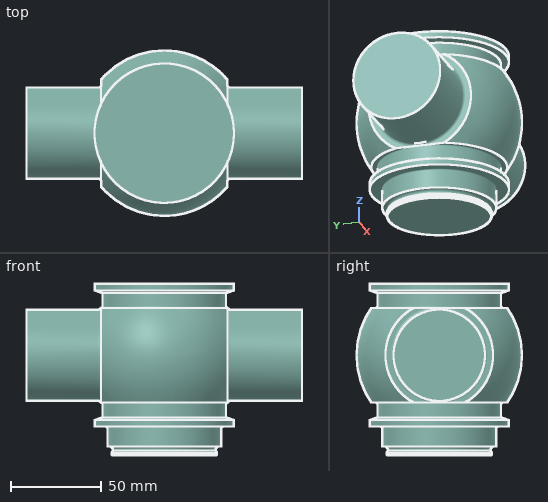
import cadquery as cq
import math

pipe_length = 153.16
overall_height = 95.45

sphere_radius = 92.05 / 2
body_half_height = 26.35
pipe_side_offset = 35.0

pipe_radius = 50.8 / 2
pipe_fillet = 1.5

neck_radius = 68.78 / 2
neck_fillet = 0.6
flange_radius = 77.47 / 2
flange_face_z = 39.7
flange_rim_height = 3.65
flange_slope_angle = 20

spigot_radius = 63.4 / 2
spigot_fillet = 0.7
spigot_bottom_z = -50.7

stem_radius = 57.28 / 2
stem_fillet = 1.8
stem_straight_height = 0.5
lip_radius = 58.75 / 2
lip_chamfer_height = 0.85
lip_chamfer_width = 0.5
lip_flare_angle = 30
bottom_z = flange_face_z - overall_height


def quarter_arc_midpoint(center, radius, x_sign, y_sign):
    """Middle of a quarter arc lying on the given diagonal side of its center."""
    reach = radius * math.sqrt(0.5)
    return (center[0] + x_sign * reach, center[1] + y_sign * reach)


def revolve_about_z(profile):
    """Close a radius-height profile and turn it about the neck axis."""
    return profile.close().revolve(360, (0, 0, 0), (0, 1, 0))


def make_body():
    """Sphere with its poles on Y, cut by the four flats."""
    envelope = cq.Workplane("XY").box(
        2 * pipe_side_offset, 2 * sphere_radius, 2 * body_half_height
    )
    sphere = (
        cq.Workplane("XY")
        .moveTo(0, -sphere_radius)
        .threePointArc((sphere_radius, 0), (0, sphere_radius))
        .close()
        .revolve(360, (0, 0, 0), (0, 1, 0))
    )
    return sphere.intersect(envelope)


def make_pipe():
    """Both pipe stubs with their fillets, kept within the body height."""
    fillet_center = (pipe_side_offset + pipe_fillet, pipe_radius + pipe_fillet)
    stub = (
        cq.Workplane("XY")
        .lineTo(pipe_length / 2, 0)
        .lineTo(pipe_length / 2, pipe_radius)
        .lineTo(fillet_center[0], pipe_radius)
        .threePointArc(
            quarter_arc_midpoint(fillet_center, pipe_fillet, -1, -1),
            (pipe_side_offset, fillet_center[1]),
        )
        .lineTo(pipe_side_offset, pipe_radius)
        .lineTo(0, pipe_radius)
        .close()
        .revolve(360, (0, 0, 0), (1, 0, 0))
    )
    height_limit = cq.Workplane("XY").box(
        pipe_length, 2 * sphere_radius, 2 * body_half_height
    )
    return stub.union(stub.mirror("YZ")).intersect(height_limit)


def make_flanged_neck():
    """Upper neck filleted onto the body, with a flange sloped on the body side."""
    rim_z = flange_face_z - flange_rim_height
    slope_height = (flange_radius - neck_radius) * math.tan(math.radians(flange_slope_angle))
    fillet_center = (neck_radius + neck_fillet, body_half_height + neck_fillet)
    profile = (
        cq.Workplane("XZ")
        .lineTo(neck_radius, 0)
        .lineTo(neck_radius, body_half_height)
        .lineTo(fillet_center[0], body_half_height)
        .threePointArc(
            quarter_arc_midpoint(fillet_center, neck_fillet, -1, -1),
            (neck_radius, fillet_center[1]),
        )
        .lineTo(neck_radius, rim_z - slope_height)
        .lineTo(flange_radius, rim_z)
        .lineTo(flange_radius, flange_face_z)
        .lineTo(0, flange_face_z)
    )
    return revolve_about_z(profile)


def make_spigot_and_stem():
    """Filleted spigot and stem under the lower flange, ending in the lip."""
    spigot_center = (spigot_radius + spigot_fillet, -flange_face_z - spigot_fillet)
    stem_center = (stem_radius + stem_fillet, spigot_bottom_z - stem_fillet)
    flare_top_z = stem_center[1] - stem_straight_height
    flare_height = (lip_radius - stem_radius) / math.tan(math.radians(lip_flare_angle))
    lip_chamfer_z = bottom_z + lip_chamfer_height
    profile = (
        cq.Workplane("XZ")
        .moveTo(0, -flange_face_z)
        .lineTo(spigot_center[0], -flange_face_z)
        .threePointArc(
            quarter_arc_midpoint(spigot_center, spigot_fillet, -1, 1),
            (spigot_radius, spigot_center[1]),
        )
        .lineTo(spigot_radius, spigot_bottom_z)
        .lineTo(stem_center[0], spigot_bottom_z)
        .threePointArc(
            quarter_arc_midpoint(stem_center, stem_fillet, -1, 1),
            (stem_radius, stem_center[1]),
        )
        .lineTo(stem_radius, flare_top_z)
        .lineTo(lip_radius, flare_top_z - flare_height)
        .lineTo(lip_radius, lip_chamfer_z)
        .lineTo(lip_radius - lip_chamfer_width, bottom_z)
        .lineTo(0, bottom_z)
    )
    return revolve_about_z(profile)


upper_neck = make_flanged_neck()
lower_neck = upper_neck.mirror("XY")
result = (
    make_body()
    .union(make_pipe())
    .union(upper_neck)
    .union(lower_neck)
    .union(make_spigot_and_stem())
)